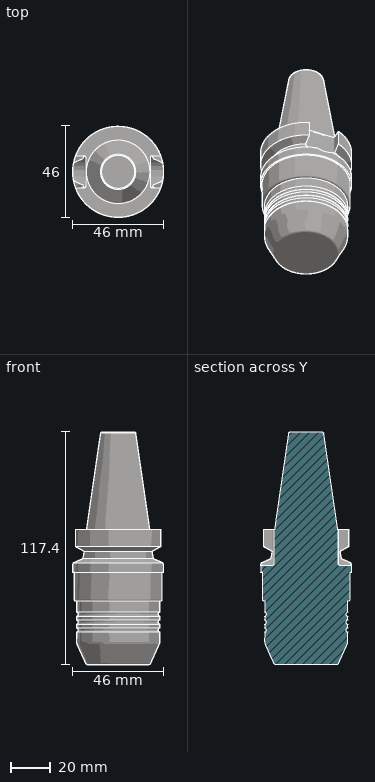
import cadquery as cq

total_height = 117.4
flange_top = 68.2
flange_rim_bottom = 59.6
flange_cone_bottom = 57.2
v_groove_bottom = 53.5
collar_rim_top = 51.4
collar_bottom = 46.55
body_bottom = 32.1
sleeve_bottom = 10.85

flange_radius = 46 / 2
v_groove_radius = 38 / 2
body_radius = 44.5 / 2
sleeve_radius = 42 / 2
nose_radius = 16.1

taper_base_radius = 16.0
taper_slope = 7 / 48
taper_chamfer = 0.5

body_fillet = 0.8
sleeve_fillet = 2.0
nose_fillet = 1.3
selection_margin = 0.05

grip_count = 3
grip_pitch = 4.0
grip_first_height = 17.5
grip_half_width = 1.1
grip_depth = 0.75

slot_width = 16.1
slot_floor_x = 16.3
slot_bottom = 50.2
slot_floor_fillet = 0.8
slot_clearance = 5.0


def make_turned_body():
    """Revolve the half profile, listed as (radius, height), about Z."""
    taper_top_radius = taper_base_radius - taper_slope * (total_height - flange_top)
    profile = (
        cq.Workplane("XZ")
        .moveTo(0, 0)
        .lineTo(nose_radius, 0)
        .lineTo(sleeve_radius, sleeve_bottom)
        .lineTo(sleeve_radius, body_bottom)
        .lineTo(body_radius, body_bottom)
        .lineTo(body_radius, collar_bottom)
        .lineTo(flange_radius, collar_bottom)
        .lineTo(flange_radius, collar_rim_top)
        .lineTo(v_groove_radius, v_groove_bottom)
        .lineTo(v_groove_radius, flange_cone_bottom)
        .lineTo(flange_radius, flange_rim_bottom)
        .lineTo(flange_radius, flange_top)
        .lineTo(taper_base_radius, flange_top)
        .lineTo(taper_top_radius + taper_slope * taper_chamfer, total_height - taper_chamfer)
        .lineTo(taper_top_radius - taper_chamfer, total_height)
        .lineTo(0, total_height)
        .close()
    )
    return profile.revolve(360, (0, 0, 0), (0, 1, 0))


def round_outer_edge(solid, height, fillet):
    """Fillet the outermost circular edge that lies at the given height."""
    reach = flange_radius + selection_margin
    level = cq.selectors.BoxSelector(
        (-reach, -reach, height - selection_margin),
        (reach, reach, height + selection_margin),
        boundingbox=True,
    )
    outermost = cq.selectors.RadiusNthSelector(-1)
    return solid.edges(level).edges("%CIRCLE").edges(outermost).fillet(fillet)


def make_grip_groove(height):
    """Ring that cuts one groove of circular-arc section into the sleeve."""
    section = (
        cq.Workplane("XZ")
        .moveTo(sleeve_radius, height - grip_half_width)
        .threePointArc((sleeve_radius - grip_depth, height), (sleeve_radius, height + grip_half_width))
        .close()
    )
    return section.revolve(360, (0, 0, 0), (0, 1, 0))


def make_drive_slot():
    """Cutter for the +X drive slot: round lower end, open at the top, filleted floor edge."""
    slot_radius = slot_width / 2
    arc_center = slot_bottom + slot_radius
    slot_depth = flange_radius - slot_floor_x + slot_clearance
    cutter_top = flange_top + slot_clearance
    cutter = (
        cq.Workplane("YZ", origin=(slot_floor_x, 0, 0))
        .moveTo(-slot_radius, cutter_top)
        .lineTo(-slot_radius, arc_center)
        .threePointArc((0, slot_bottom), (slot_radius, arc_center))
        .lineTo(slot_radius, cutter_top)
        .close()
        .extrude(slot_depth)
    )
    cutter = cutter.faces("<X").edges("not(>Z)").fillet(slot_floor_fillet)
    return cutter


result = make_turned_body()
result = round_outer_edge(result, 0, nose_fillet)
result = round_outer_edge(result, sleeve_bottom, sleeve_fillet)
result = round_outer_edge(result, body_bottom, body_fillet)
for index in range(grip_count):
    result = result.cut(make_grip_groove(grip_first_height + index * grip_pitch))

drive_slot = make_drive_slot()
for angle in (0, 180):
    result = result.cut(drive_slot.rotate((0, 0, 0), (0, 0, 1), angle))